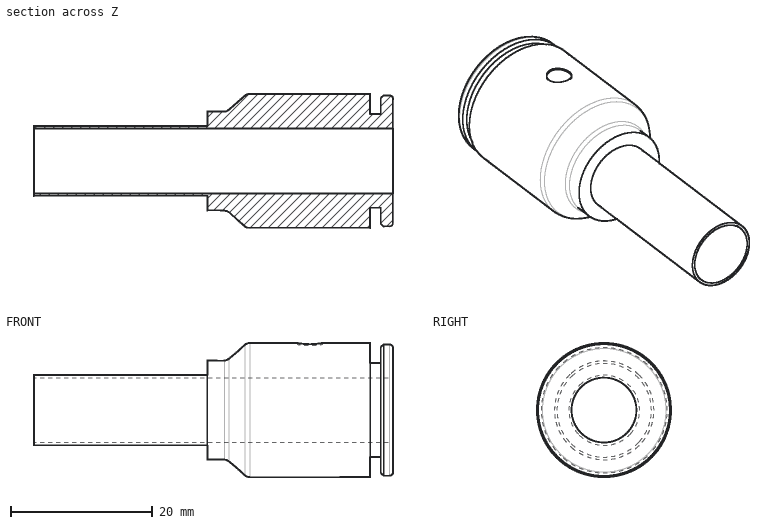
import cadquery as cq

tube_end = 24.55
cone_start = 27.3
cone_end = 30.15
body_end = 47.6
flange_start = 49.1
overall_length = 50.85

bore_radius = 4.6
tube_radius = 5.0
collar_radius = 7.0
body_radius = 9.5
neck_radius = 6.65
flange_radius = 9.3

cone_blend = 1.0
flange_inner_chamfer = 0.4
flange_outer_round = 0.55

dimple_x = 39.05
dimple_radius = 1.8
dimple_depth = 0.2


def cylinder(start, end, radius):
    """Solid cylinder on the X axis between two axial positions."""
    return cq.Workplane("YZ", origin=(start, 0, 0)).circle(radius).extrude(end - start)


def make_body():
    """Collar, cone and main barrel, with both ends of the cone blended."""
    profile = [
        (tube_end, 0),
        (tube_end, collar_radius),
        (cone_start, collar_radius),
        (cone_end, body_radius),
        (body_end, body_radius),
        (body_end, 0),
    ]
    body = cq.Workplane("XY").polyline(profile).close().revolve(360, (0, 0, 0), (1, 0, 0))
    for corner_x in (cone_start, cone_end):
        corner = cq.selectors.NearestToPointSelector((corner_x, 0, 0))
        body = body.edges("%CIRCLE").edges(corner).fillet(cone_blend)
    return body


def make_flange():
    """Release ring with a chamfered inner rim and a rounded outer rim."""
    flange = cylinder(flange_start, overall_length, flange_radius)
    flange = flange.faces("<X").edges().chamfer(flange_inner_chamfer)
    return flange.faces(">X").edges().fillet(flange_outer_round)


def make_dimple():
    """Shallow round pocket whose floor follows the barrel."""
    plug = cq.Workplane("XY", origin=(dimple_x, 0, 0)).circle(dimple_radius).extrude(2 * body_radius)
    return plug.cut(cylinder(tube_end, body_end, body_radius - dimple_depth))


tube = cylinder(0, tube_end, tube_radius)
neck = cylinder(body_end, flange_start, neck_radius)
bore = cylinder(0, overall_length, bore_radius)

result = tube.union(make_body()).union(neck).union(make_flange())
result = result.cut(make_dimple()).cut(bore)